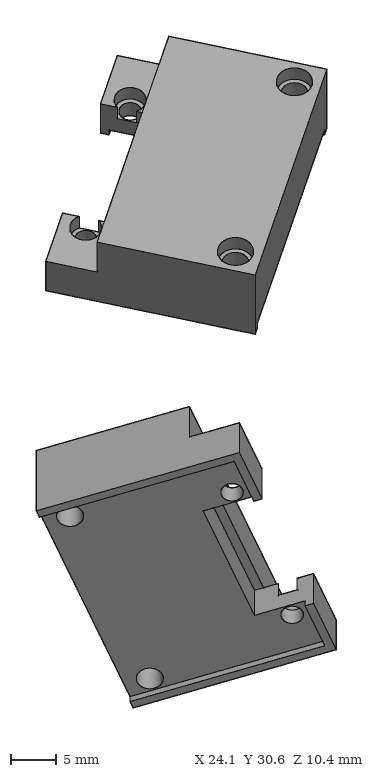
import cadquery as cq

length_x = 24.1
width_y = 30.6
height_z = 10.4

step_length = 5.92
arm_height = 5.15
arm_width = 7.2
notch_width = width_y - 2 * arm_width
notch_length = 7.0

recess_depth = 0.85
rim_width = 1.0

counterbore_depth = 2.0

arm_hole_diameter = 2.5
arm_counterbore_diameter = 3.55
arm_hole_x = 3.05
arm_hole_inset_y = 5.8
arm_hole_y = width_y / 2 - arm_hole_inset_y

block_hole_diameter = 3.0
block_counterbore_diameter = 4.0
block_hole_inset_x = 3.0
block_hole_inset_y = 2.7
block_hole_x = length_x - block_hole_inset_x
block_hole_y = width_y / 2 - block_hole_inset_y


def centred_box(start_x, end_x, width, bottom_z, top_z):
    """Box centred on the middle plane Y = 0, spanning the given X and Z ranges."""
    box = cq.Workplane("XY").box(end_x - start_x, width, top_z - bottom_z, centered=(False, True, False))
    return box.translate((start_x, 0, bottom_z))


def stepped_block():
    block = centred_box(0, length_x, width_y, 0, height_z)
    step = centred_box(0, step_length, width_y, arm_height, height_z)
    return block.cut(step)


def arm_notch():
    return centred_box(0, notch_length, notch_width, 0, arm_height)


def underside_recess():
    return centred_box(rim_width, length_x, width_y - 2 * rim_width, 0, recess_depth)


def counterbored_pair(x, y, top_z, hole_diameter, bore_diameter):
    """Two counterbored through holes mirrored about Y = 0, entered from top_z."""
    centres = [(x, -y), (x, y)]
    holes = cq.Workplane("XY").pushPoints(centres).circle(hole_diameter / 2).extrude(top_z)
    bores = (
        cq.Workplane("XY", origin=(0, 0, top_z))
        .pushPoints(centres)
        .circle(bore_diameter / 2)
        .extrude(-counterbore_depth)
    )
    return holes.union(bores)


arm_holes = counterbored_pair(
    arm_hole_x, arm_hole_y, arm_height, arm_hole_diameter, arm_counterbore_diameter
)
block_holes = counterbored_pair(
    block_hole_x, block_hole_y, height_z, block_hole_diameter, block_counterbore_diameter
)

result = stepped_block().cut(arm_notch()).cut(underside_recess()).cut(arm_holes).cut(block_holes)